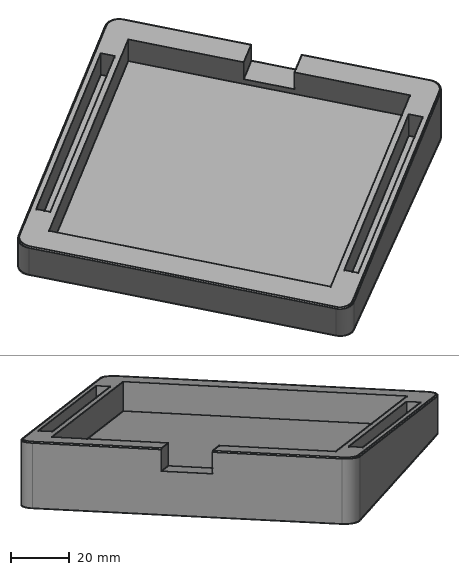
import cadquery as cq

width = 119.0
depth = 117.2
back_height = 23.2
front_height = 13.2
corner_radius = 5.0
rim_chamfer = 0.5

rim_width = 9.5
pocket_width = width - 2 * rim_width
pocket_length = depth - 2 * rim_width
pocket_depth = 10.2

notch_width = 18.0
notch_depth = 8.0

slot_width = 5.0
slot_length = 80.0
slot_depth = pocket_depth
slot_edge_gap = 2.4
slot_x = width / 2 - slot_edge_gap - slot_width / 2


def wedge_body():
    """Wedge with rounded vertical corners and a broken top edge."""
    block = (
        cq.Workplane("XY")
        .box(width, depth, back_height, centered=(True, True, False))
        .edges("|Z").fillet(corner_radius)
        .faces(">Z").edges().chamfer(rim_chamfer)
    )
    underside_cut = (
        cq.Workplane("YZ")
        .moveTo(depth / 2, 0)
        .lineTo(-depth / 2, back_height - front_height)
        .lineTo(-depth / 2, 0)
        .close()
        .extrude(width / 2, both=True)
    )
    return block.cut(underside_cut)


def top_recess(size_x, size_y, recess_depth, x=0, y=0):
    """Rectangular cutter reaching down from the top face, centred at x, y."""
    return (
        cq.Workplane("XY", origin=(x, y, back_height))
        .rect(size_x, size_y)
        .extrude(-recess_depth)
    )


result = wedge_body()
result = result.cut(top_recess(pocket_width, pocket_length, pocket_depth))

notch_y = depth / 2 - rim_width / 2
result = result.cut(top_recess(notch_width, rim_width, notch_depth, y=notch_y))

for side in (-1, 1):
    result = result.cut(top_recess(slot_width, slot_length, slot_depth, x=side * slot_x))